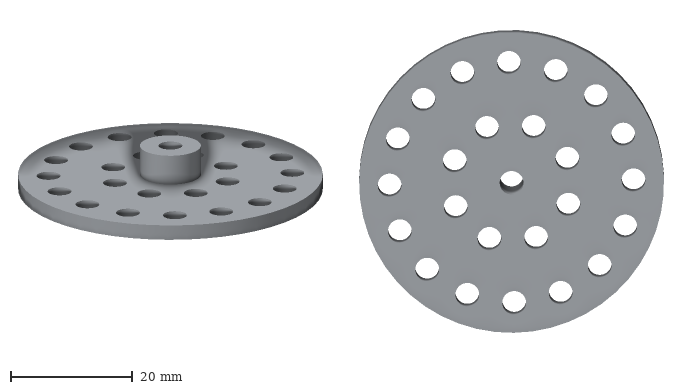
import cadquery as cq

disc_diameter = 50.0
disc_thickness = 2.5
hub_diameter = 10.0
hub_height = 5.0
hole_diameter = 3.9

inner_circle_radius = 10.0
inner_hole_count = 8
outer_circle_radius = 2 * inner_circle_radius
outer_hole_count = 2 * inner_hole_count

total_height = disc_thickness + hub_height


def through_holes(points):
    """Cutters at the points of a workplane, long enough to pass through disc and hub."""
    return points.circle(hole_diameter / 2).extrude(total_height)


def hole_circle(radius, count):
    """Evenly spaced hole cutters, the first one on the +X axis."""
    return through_holes(cq.Workplane("XY").polarArray(radius, 0, 360, count))


disc = cq.Workplane("XY").circle(disc_diameter / 2).extrude(disc_thickness)

hub = cq.Workplane("XY").circle(hub_diameter / 2).extrude(total_height)

result = (
    disc.union(hub)
    .cut(through_holes(cq.Workplane("XY")))
    .cut(hole_circle(inner_circle_radius, inner_hole_count))
    .cut(hole_circle(outer_circle_radius, outer_hole_count))
)